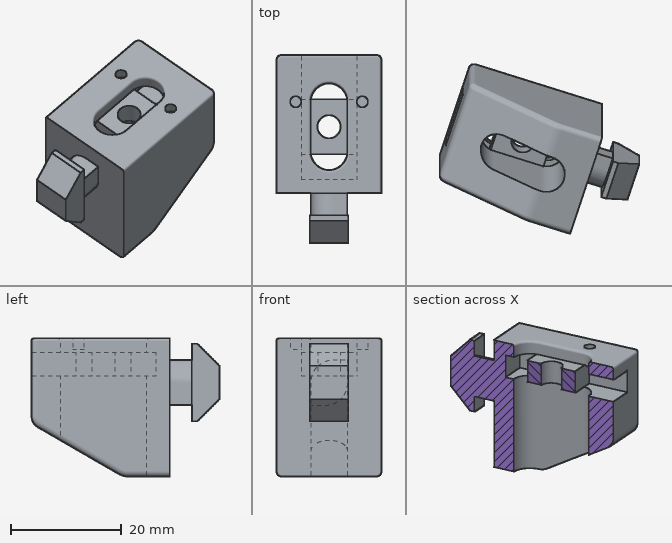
import cadquery as cq
import math

block_width = 19.0
block_depth = 25.0
block_height = 25.0
bottom_flat_depth = 8.35
slope_angle = 30.0
slope_back_radius = 2.4
slope_bottom_radius = 3.6
side_edge_radius = 1.0
top_edge_radius = 0.5

slot_width = 6.6
slot_travel = 9.0
slot_center_y = 12.0
slot_rim_radius = 0.5

pilot_diameter = 2.0
pilot_depth = 2.0
pilot_x = 6.02
pilot_y = slot_center_y + slot_travel / 2

nut_side = 10.0
nut_height = 4.25
nut_bore_diameter = 4.15
roof_thickness = 2.5
nut_bottom = block_height - roof_thickness - nut_height

neck_width = slot_width
neck_height = 8.2
neck_length = 4.0
neck_round_radius = 4.0
head_width = 7.0
head_height = 14.0
head_land = 1.0
head_chamfer = 4.0
key_depth_below_top = 8.0
key_center_z = block_height - key_depth_below_top


def make_block_blank():
    """Side profile with a sloped lower back, extruded across X and rounded."""
    slope_rise = (block_depth - bottom_flat_depth) * math.tan(math.radians(slope_angle))
    blank = (
        cq.Workplane("YZ")
        .polyline([
            (0, 0),
            (bottom_flat_depth, 0),
            (block_depth, slope_rise),
            (block_depth, block_height),
            (0, block_height),
        ])
        .close()
        .extrude(block_width / 2, both=True)
    )
    slope_back_edge = cq.NearestToPointSelector((0, block_depth, slope_rise))
    slope_bottom_edge = cq.NearestToPointSelector((0, bottom_flat_depth, 0))
    blank = blank.edges(slope_back_edge).fillet(slope_back_radius)
    blank = blank.edges(slope_bottom_edge).fillet(slope_bottom_radius)

    blank = blank.faces("<X or >X").edges("not(<Y or >Z)").fillet(side_edge_radius)
    return blank.faces(">Z").edges("not <Y").fillet(top_edge_radius)


def make_neck():
    """Rectangular neck whose two diagonally opposite corners are rounded."""
    half_width = neck_width / 2
    half_height = neck_height / 2
    radius = neck_round_radius
    return (
        cq.Workplane("XZ", origin=(0, 0, key_center_z))
        .moveTo(-half_width, -half_height)
        .lineTo(half_width - radius, -half_height)
        .radiusArc((half_width, radius - half_height), -radius)
        .lineTo(half_width, half_height)
        .lineTo(radius - half_width, half_height)
        .radiusArc((-half_width, half_height - radius), -radius)
        .close()
        .extrude(neck_length)
    )


def make_head():
    """Key head, tapering at 45 degrees above and below towards its front."""
    head_back = -neck_length
    land_front = head_back - head_land
    head_front = land_front - head_chamfer
    half_height = head_height / 2
    nose_half_height = half_height - head_chamfer
    return (
        cq.Workplane("YZ", origin=(0, 0, key_center_z))
        .polyline([
            (head_back, -half_height),
            (land_front, -half_height),
            (head_front, -nose_half_height),
            (head_front, nose_half_height),
            (land_front, half_height),
            (head_back, half_height),
        ])
        .close()
        .extrude(head_width / 2, both=True)
    )


def cut_slot(block):
    slot = (
        cq.Workplane("XY", origin=(0, slot_center_y, 0))
        .slot2D(slot_travel + slot_width, slot_width, 90)
        .extrude(block_height)
    )
    block = block.cut(slot)
    rim_box = cq.selectors.BoxSelector(
        (-slot_width, slot_center_y - slot_travel, block_height - slot_rim_radius / 2),
        (slot_width, slot_center_y + slot_travel, block_height + slot_rim_radius / 2),
    )
    return block.edges(rim_box).fillet(slot_rim_radius)


def cut_nut_channel(block):
    """Channel open at the back, long enough for the nut to reach both slot ends."""
    channel_front = slot_center_y - slot_travel / 2 - nut_side / 2
    channel = (
        cq.Workplane("XY", origin=(0, channel_front, nut_bottom))
        .box(nut_side, block_depth - channel_front, nut_height, centered=(True, False, False))
    )
    return block.cut(channel)


def cut_pilot_holes(block):
    holes = (
        cq.Workplane("XY", origin=(0, pilot_y, block_height - pilot_depth))
        .pushPoints([(-pilot_x, 0), (pilot_x, 0)])
        .circle(pilot_diameter / 2)
        .extrude(pilot_depth)
    )
    return block.cut(holes)


def make_block():
    block = make_block_blank()
    block = cut_slot(block)
    block = cut_nut_channel(block)
    block = cut_pilot_holes(block)
    return block.union(make_neck()).union(make_head())


def make_nut():
    """Square nut with a plain bore, centred under the slot and filling the channel's height."""
    return (
        cq.Workplane("XY", origin=(0, slot_center_y, nut_bottom))
        .rect(nut_side, nut_side)
        .circle(nut_bore_diameter / 2)
        .extrude(nut_height)
    )


block = make_block()
nut = make_nut()

result = cq.Compound.makeCompound([block.val(), nut.val()])